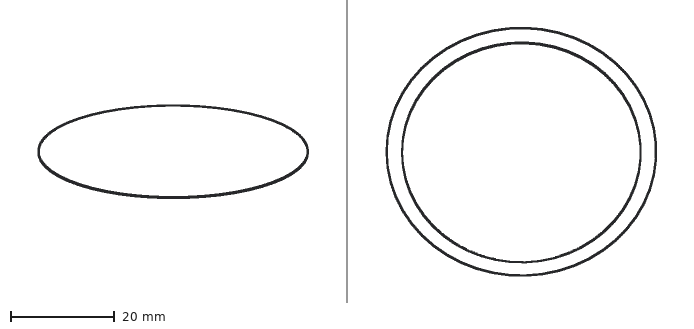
import cadquery as cq

disc_diameter = 52.0
total_height = 0.6

disc_thickness = 0.2
step_diameter = 46.0
step_height = total_height - disc_thickness

step = cq.Workplane("XY").circle(step_diameter / 2).extrude(step_height)
disc = (
    cq.Workplane("XY")
    .workplane(offset=step_height)
    .circle(disc_diameter / 2)
    .extrude(disc_thickness)
)

result = disc.union(step)